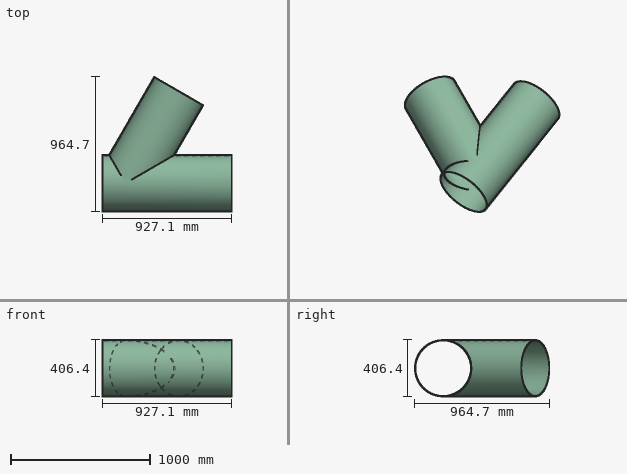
import cadquery as cq
import math

outer_diameter = 406.4
inner_diameter = 396.85
run_length = 927.1
crossing_setback = 165.1
branch_length = 762.0
branch_angle = 60.0
bore_overshoot = 50.0

run_direction = cq.Vector(1, 0, 0)
run_start = run_direction * -crossing_setback
angle = math.radians(branch_angle)
branch_direction = cq.Vector(math.cos(angle), math.sin(angle), 0)
branch_start = cq.Vector(0, 0, 0)


def cylinder(diameter, length, start, direction):
    return cq.Workplane(cq.Solid.makeCylinder(diameter / 2, length, start, direction))


def make_body():
    """Solid run and branch of equal diameter, joined."""
    run = cylinder(outer_diameter, run_length, run_start, run_direction)
    branch = cylinder(outer_diameter, branch_length, branch_start, branch_direction)
    return run.union(branch)


def make_bore():
    """Bores of both pipes, opening into each other and through all three ends.

    The overshoot at the run's -X end also removes the sliver of the branch's
    inner end that would stick out of the run.
    """
    run_bore_start = run_start - run_direction * bore_overshoot
    run_bore_length = run_length + 2 * bore_overshoot
    branch_bore_length = branch_length + bore_overshoot
    run_bore = cylinder(inner_diameter, run_bore_length, run_bore_start, run_direction)
    branch_bore = cylinder(inner_diameter, branch_bore_length, branch_start, branch_direction)
    return run_bore.union(branch_bore)


result = make_body().cut(make_bore())